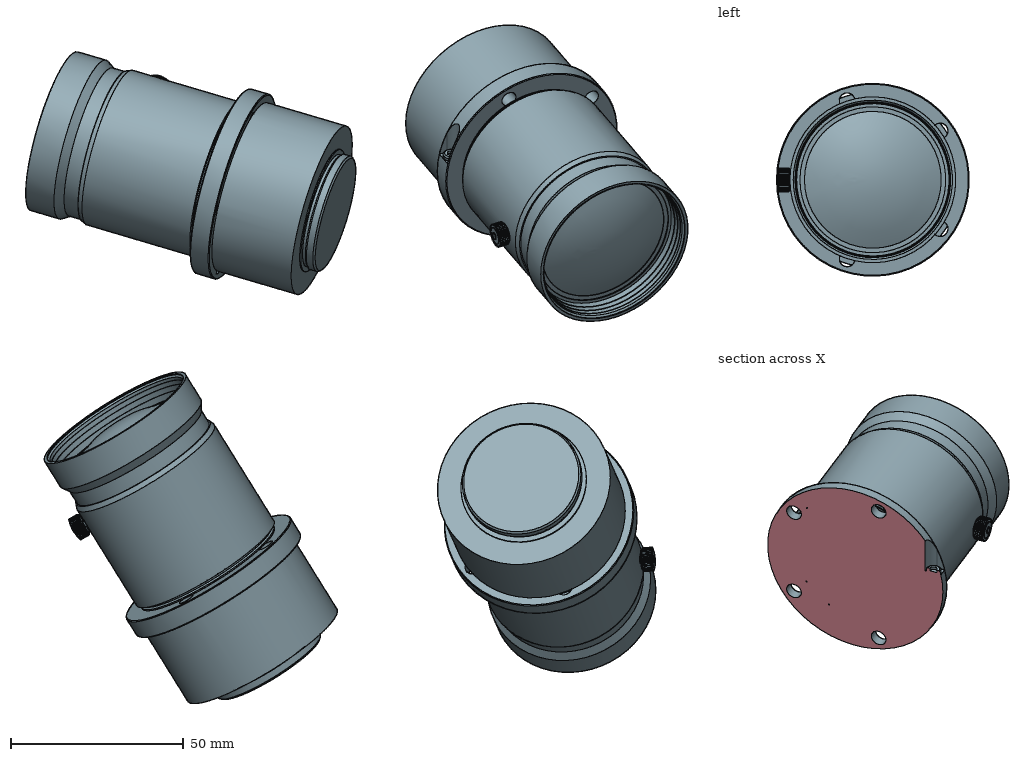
import cadquery as cq
import math


hood_end = 8.8
neck_start = 11.3
ring_start = 15.8
ring_chamfer = 1.5
ring_end = 50.7
gap_end = 51.5
flange_start = 52.4
flange_width = 5.9
flange_end = flange_start + flange_width
body_end = 82.9
seat_end = 83.2
mount_start = 84.6
mount_end = 87.1

hood_dia = 48.2
neck_dia = 45.0
ring_dia = 47.0
ring_lip_dia = 45.75
gap_dia = 44.3
collar_dia = 45.2
collar_chamfer = (collar_dia - gap_dia) / 2
flange_dia = 56.0
body_dia = 51.1
seat_dia = 37.0
spigot_dia = 34.0
mount_dia = 35.0
flange_chamfer = 0.3
mount_chamfer = (mount_dia - spigot_dia) / 2

mouth_dia = 46.3
mouth_depth = 0.35
lead_in_end = 0.9
bore_steps = [(45.2, 1.8), (45.0, 3.2), (44.6, 4.9), (44.3, 6.8), (42.35, 7.15)]

glass_dia = 39.7
glass_edge = 7.3
glass_tip = 2.1

hole_dia = 4.5
hole_circle_radius = 24.1
hole_pitch = 72
hole_angles = [hole_pitch * (k + 0.5) for k in (-2, -1, 0, 1)]

screw_x = (flange_start + flange_end) / 2
screw_y = 24.9
screw_seat_z = 6.1
screw_seat_radius = 2.5
screw_head_dia = 4.5
screw_head_height = 1.3
screw_head_chamfer = 0.4
socket_dia = 2.1
socket_depth = 0.9

knob_x = 22.6
knob_bottom = 24.05
knob_top = 27.3
knob_dia = 7.0
knob_chamfer = 0.4
tooth_count = 40
tooth_depth = 0.3
knob_cap_dia = 5.05
knob_cap_top = 27.5
stem_dia = 2.1
stem_top = 27.8
stem_root = 21.8


def revolve_about_x(profile):
    return profile.close().revolve(360, (0, 0, 0), (1, 0, 0))


def barrel():
    """Whole turned outside as one solid of revolution."""
    steps = [
        (0, hood_dia), (hood_end, hood_dia),
        (neck_start, neck_dia), (ring_start, neck_dia),
        (ring_start, ring_lip_dia), (ring_start + ring_chamfer, ring_dia), (ring_end, ring_dia),
        (ring_end, gap_dia), (gap_end, gap_dia),
        (gap_end + collar_chamfer, collar_dia), (flange_start, collar_dia),
        (flange_start, flange_dia - 2 * flange_chamfer), (flange_start + flange_chamfer, flange_dia),
        (flange_end - flange_chamfer, flange_dia), (flange_end, flange_dia - 2 * flange_chamfer),
        (flange_end, body_dia), (body_end, body_dia),
        (body_end, seat_dia), (seat_end, seat_dia),
        (seat_end, spigot_dia), (mount_start - mount_chamfer, spigot_dia),
        (mount_start, mount_dia), (mount_end - mount_chamfer, mount_dia),
        (mount_end, spigot_dia),
    ]
    outline = [(x, dia / 2) for x, dia in steps]
    return revolve_about_x(cq.Workplane("XY").polyline([(0, 0)] + outline + [(mount_end, 0)]))


def front_bore():
    """Stepped recess in front of the glass, with a floor that follows the domed glass."""
    profile = (
        cq.Workplane("XY")
        .lineTo(0, mouth_dia / 2)
        .lineTo(mouth_depth, mouth_dia / 2)
    )
    start = lead_in_end
    for dia, end in bore_steps:
        profile = profile.lineTo(start, dia / 2).lineTo(end, dia / 2)
        start = end
    glass_radius = glass_dia / 2
    sag = glass_edge - glass_tip
    sphere_radius = (glass_radius ** 2 + sag ** 2) / (2 * sag)
    half_height = glass_radius / 2
    half_x = glass_tip + sphere_radius - math.sqrt(sphere_radius ** 2 - half_height ** 2)
    profile = profile.lineTo(start, glass_radius).lineTo(glass_edge, glass_radius)
    profile = profile.threePointArc((half_x, half_height), (glass_tip, 0))
    return revolve_about_x(profile)


def flange_holes():
    """Holes along X through the flange; angles run from -Y towards +Z."""
    centres = [
        (-hole_circle_radius * math.cos(math.radians(a)), hole_circle_radius * math.sin(math.radians(a)))
        for a in hole_angles
    ]
    plane = cq.Workplane("YZ", origin=(flange_start, 0, 0))
    return plane.pushPoints(centres).circle(hole_dia / 2).extrude(flange_width)


def screw_seat():
    """U-shaped pocket, open towards +Y, milled down from +Z to the screw seat."""
    height = flange_dia / 2 - screw_seat_z
    slot_length = flange_dia / 2 - screw_y
    plane = cq.Workplane("XY", origin=(screw_x, screw_y, screw_seat_z))
    round_end = plane.circle(screw_seat_radius).extrude(height)
    open_side = plane.center(0, slot_length / 2).rect(2 * screw_seat_radius, slot_length).extrude(height)
    return round_end.union(open_side)


def clamp_screw():
    head = (
        cq.Workplane("XY", origin=(screw_x, screw_y, screw_seat_z))
        .circle(screw_head_dia / 2)
        .extrude(screw_head_height)
        .faces(">Z")
        .chamfer(screw_head_chamfer)
    )
    return head.faces(">Z").workplane().hole(socket_dia, socket_depth)


def disc_along_y(dia, bottom, top):
    return cq.Workplane("XZ", origin=(knob_x, bottom, 0)).circle(dia / 2).extrude(bottom - top)


def locking_knob():
    """Round knob with V-shaped knurl teeth, a thin cap and a central stem."""
    points = []
    for k in range(2 * tooth_count):
        radius = knob_dia / 2 - tooth_depth * (k % 2)
        angle = math.pi * k / tooth_count
        points.append((radius * math.cos(angle), radius * math.sin(angle)))
    teeth = (
        cq.Workplane("XZ", origin=(knob_x, knob_bottom, 0))
        .polyline(points)
        .close()
        .extrude(knob_bottom - knob_top)
    )
    chamfered_blank = disc_along_y(knob_dia, knob_bottom, knob_top).faces("<Y").chamfer(knob_chamfer)
    cap = disc_along_y(knob_cap_dia, knob_top, knob_cap_top)
    stem = disc_along_y(stem_dia, stem_root, stem_top)
    return teeth.intersect(chamfered_blank).union(cap).union(stem)


result = (
    barrel()
    .cut(front_bore())
    .cut(flange_holes())
    .cut(screw_seat())
    .union(clamp_screw())
    .union(locking_knob())
)